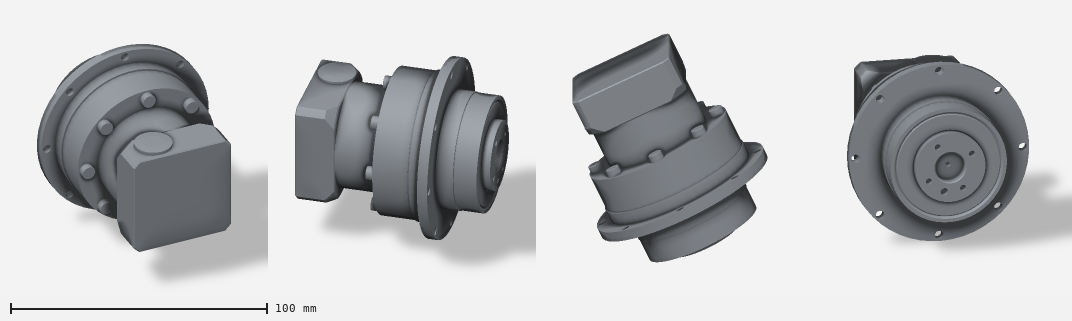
import cadquery as cq
import math

nose_front = 3.0
nose_step = 12.5
flange_front = 19.5
flange_back = 23.6
collar_back = 28.65
drum_back = 43.4
neck_back = 61.0
overall_length = 77.0

nose_diameter = 46.5
spigot_diameter = 47.05
flange_diameter = 72.0
collar_diameter = 60.0
drum_diameter = 59.0
neck_diameter = 42.0
nose_groove_width = 0.3
nose_groove_depth = 0.3
collar_groove_width = 0.55
collar_groove_depth = 0.15

seal_diameter = 42.0
seal_bevel = 0.5
nose_mouth_bevel = 0.85
nose_mouth_depth = 0.8

around_count = 8
flange_hole_diameter = 3.4
flange_hole_circle = 67.0
screw_head_diameter = 5.5
screw_head_height = 3.0
screw_head_bevel = 0.15
screw_circle = 52.05

block_size = neck_diameter
block_corner_diameter = 55.8
block_bevel = 0.5
block_cone_length = 4.0
block_cone_small_diameter = 50.2

plug_x = 68.0
plug_y = -8.5
plug_diameter = 15.0
plug_rim_height = 1.2
plug_height = 1.55
plug_flat_diameter = 8.5

shaft_diameter = 28.0
shaft_length = flange_back
bore_diameter = 12.0
bore_depth = 4.5
bore_bevel = 0.5
centre_hole_diameter = 2.0
centre_tip_diameter = 1.0
centre_hole_depth = 2.0
thread_hole_diameter = 2.5
thread_hole_count = 4
thread_hole_start = 59.5
dowel_hole_diameter = 3.0
dowel_hole_angle = -76.0
face_hole_circle = 20.0
face_hole_depth = 6.0
drill_tip_half_angle = 59.0


def turned(profile):
    """Revolve an (x, radius) outline about the X axis."""
    return cq.Workplane("XY").polyline(profile).close().revolve(360, (0, 0, 0), (1, 0, 0))


def rod(x, length, diameter):
    """Cylinder on the X axis that starts at x."""
    return cq.Workplane("YZ", origin=(x, 0, 0)).circle(diameter / 2).extrude(length)


def place_around(shape, circle_diameter, angle):
    """Move a shape from the X axis out to a bolt circle; the angle runs from +Y towards +Z."""
    return shape.translate((0, circle_diameter / 2, 0)).rotate((0, 0, 0), (1, 0, 0), angle)


def make_turned_housing():
    """Stepped round body from the nose to the neck, solid inside."""
    nose_r = nose_diameter / 2
    collar_r = collar_diameter / 2
    nose_groove_r = nose_r - nose_groove_depth
    collar_groove_r = drum_diameter / 2 - collar_groove_depth
    return turned([
        (nose_front, 0),
        (nose_front, nose_r),
        (nose_step - nose_groove_width, nose_r),
        (nose_step - nose_groove_width, nose_groove_r),
        (nose_step, nose_groove_r),
        (nose_step, spigot_diameter / 2),
        (flange_front, spigot_diameter / 2),
        (flange_front, flange_diameter / 2),
        (flange_back, flange_diameter / 2),
        (flange_back, collar_r),
        (collar_back, collar_r),
        (collar_back, collar_groove_r),
        (collar_back + collar_groove_width, collar_groove_r),
        (collar_back + collar_groove_width, drum_diameter / 2),
        (drum_back, drum_diameter / 2),
        (drum_back, neck_diameter / 2),
        (neck_back, neck_diameter / 2),
        (neck_back, 0),
    ])


def make_nose_mouth():
    """Shallow recess with bevelled edges that leaves the seal ring set into the nose."""
    seal_r = seal_diameter / 2
    shaft_r = shaft_diameter / 2
    groove_root = nose_front + nose_mouth_depth
    seal_front = groove_root - seal_bevel
    return turned([
        (nose_front, 0),
        (nose_front, seal_r + nose_mouth_bevel),
        (groove_root, seal_r),
        (seal_front, seal_r - seal_bevel),
        (seal_front, shaft_r + seal_bevel),
        (groove_root, shaft_r),
        (groove_root, 0),
    ])


def make_block():
    """Square motor block whose corners are turned round, with a cone towards the neck."""
    block_length = overall_length - neck_back
    square = cq.Workplane("YZ", origin=(neck_back, 0, 0)).rect(block_size, block_size).extrude(block_length)
    corner_turning = turned([
        (neck_back, 0),
        (neck_back, block_cone_small_diameter / 2),
        (neck_back + block_cone_length, block_corner_diameter / 2),
        (overall_length, block_corner_diameter / 2),
        (overall_length, 0),
    ])
    return square.intersect(corner_turning).faces("<X or >X").chamfer(block_bevel)


def make_plug():
    """Round plug with a slightly conical top, standing on the block."""
    outline = [
        (0, 0),
        (plug_diameter / 2, 0),
        (plug_diameter / 2, plug_rim_height),
        (plug_flat_diameter / 2, plug_height),
        (0, plug_height),
    ]
    plug = cq.Workplane("XZ").polyline(outline).close().revolve(360, (0, 0, 0), (0, 1, 0))
    return plug.translate((plug_x, plug_y, block_size / 2))


def make_housing():
    housing = make_turned_housing().union(make_block()).union(make_plug())
    screw_head = rod(drum_back, screw_head_height, screw_head_diameter).faces(">X").chamfer(screw_head_bevel)
    flange_hole = rod(flange_front, flange_back - flange_front, flange_hole_diameter)
    for index in range(around_count):
        angle = index * 360 / around_count
        housing = housing.union(place_around(screw_head, screw_circle, angle))
        housing = housing.cut(place_around(flange_hole, flange_hole_circle, angle))
    shaft_bore = rod(nose_front, shaft_length - nose_front, shaft_diameter)
    return housing.cut(make_nose_mouth()).cut(shaft_bore)


def drill_tip_depth(radius):
    """Length of the cone that a drill of this radius leaves."""
    return radius / math.tan(math.radians(drill_tip_half_angle))


def make_drilled_hole(diameter):
    """Blind hole from the output face with a conical drill tip."""
    radius = diameter / 2
    return turned([
        (0, 0),
        (0, radius),
        (face_hole_depth, radius),
        (face_hole_depth + drill_tip_depth(radius), 0),
    ])


def make_shaft_bore():
    """Bevelled bore with a small stepped centre hole in its floor."""
    bore_r = bore_diameter / 2
    centre_r = centre_hole_diameter / 2
    tip_r = centre_tip_diameter / 2
    cone_back = bore_depth + centre_r - tip_r
    hole_back = bore_depth + centre_hole_depth
    return turned([
        (0, 0),
        (0, bore_r + bore_bevel),
        (bore_bevel, bore_r),
        (bore_depth, bore_r),
        (bore_depth, centre_r),
        (cone_back, tip_r),
        (hole_back, tip_r),
        (hole_back + drill_tip_depth(tip_r), 0),
    ])


def make_shaft():
    shaft = rod(0, shaft_length, shaft_diameter).cut(make_shaft_bore())
    thread_hole = make_drilled_hole(thread_hole_diameter)
    for index in range(thread_hole_count):
        angle = thread_hole_start + index * 360 / thread_hole_count
        shaft = shaft.cut(place_around(thread_hole, face_hole_circle, angle))
    dowel_hole = make_drilled_hole(dowel_hole_diameter)
    return shaft.cut(place_around(dowel_hole, face_hole_circle, dowel_hole_angle))


housing = make_housing()
shaft = make_shaft()

result = cq.Compound.makeCompound([housing.val(), shaft.val()])